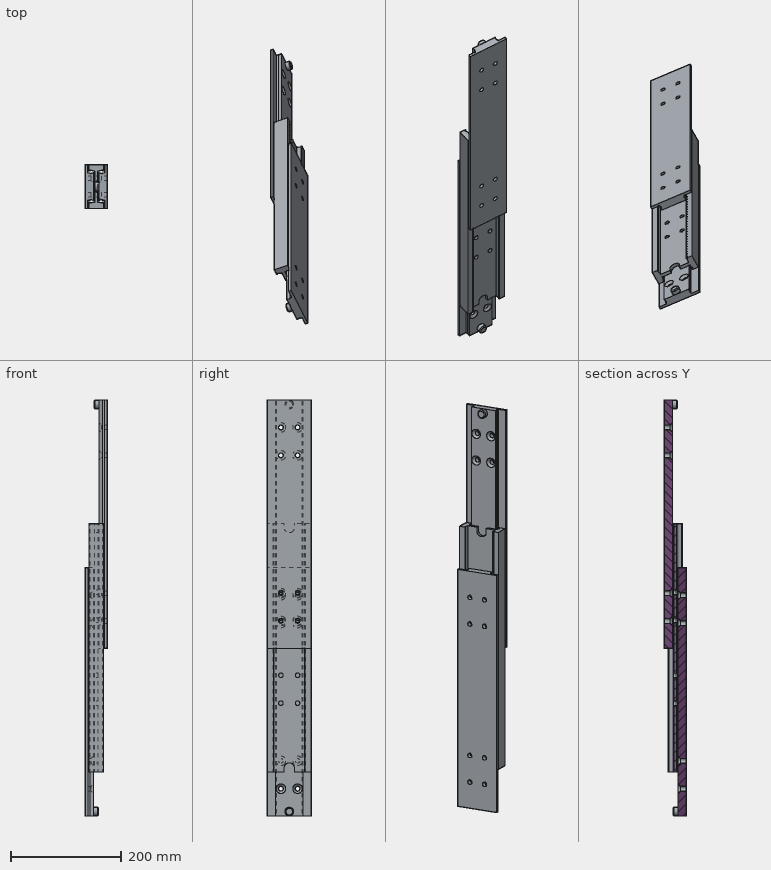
import cadquery as cq
import math

TOTAL_LENGTH = 754.0
RAIL_LENGTH = 450.0
MIDDLE_BOTTOM = 80.0
SLIDE_WIDTH = 80.0
STACK_DEPTH = 40.0

PLATE_THICKNESS = 5.0
END_RAIL_DEPTH = 15.0
BLOCK_HALF_WIDTH = 25.0

MIDDLE_DEPTH = 26.5
WEB_THICKNESS = 6.0
CHANNEL_HALF_WIDTH = 28.25

RACE_OUTER_X = 11.0
RACE_STEP = 1.5
RACE_ANGLE = 15.0

HOLE_DIAMETER = 8.0
SINK_DIAMETER = 17.0
SINK_ANGLE = 90.0
HOLE_SPACING_Y = 30.0
HOLE_DISTANCES = (50.0, 100.0)

PIN_DIAMETER = 16.0
PIN_HEIGHT = 9.0
PIN_CHAMFER = 1.9
PIN_END_DISTANCE = 8.0
NOTCH_DIAMETER = 19.0
NOTCH_DEPTH = 16.5

HALF_WIDTH = SLIDE_WIDTH / 2
HALF_STACK = STACK_DEPTH / 2
PLATE_FACE_X = HALF_STACK - PLATE_THICKNESS
BLOCK_FACE_X = HALF_STACK - END_RAIL_DEPTH
RACE_RISE = (RACE_OUTER_X - BLOCK_FACE_X) * math.tan(math.radians(RACE_ANGLE))


def symmetric_bar(half_outline):
    """Rail-length bar whose section is the +Y half outline plus its mirror image in -Y."""
    outline = half_outline + [(x, -y) for x, y in reversed(half_outline)]
    return cq.Workplane("XY").polyline(outline).close().extrude(RAIL_LENGTH)


def hole_points(heights):
    """(Y, Z) centres of one pair of holes at each height."""
    return [(side * HOLE_SPACING_Y / 2, z) for z in heights for side in (-1, 1)]


def make_end_rail():
    """End rail on the +X side of the slide, from Z = 0 up, with its stop pin at the top."""
    race_half_width = BLOCK_HALF_WIDTH - RACE_STEP
    rail = symmetric_bar([
        (HALF_STACK, HALF_WIDTH),
        (PLATE_FACE_X, HALF_WIDTH),
        (PLATE_FACE_X, BLOCK_HALF_WIDTH),
        (RACE_OUTER_X, BLOCK_HALF_WIDTH),
        (RACE_OUTER_X, race_half_width),
        (BLOCK_FACE_X, race_half_width + RACE_RISE),
    ])

    lower_heights = list(HOLE_DISTANCES)
    upper_heights = [RAIL_LENGTH - distance for distance in HOLE_DISTANCES]
    block_face = cq.Plane(origin=(BLOCK_FACE_X, 0, 0), xDir=(0, -1, 0), normal=(-1, 0, 0))
    rail = (
        rail.copyWorkplane(cq.Workplane(block_face))
        .pushPoints(hole_points(lower_heights + upper_heights))
        .cskHole(HOLE_DIAMETER, SINK_DIAMETER, SINK_ANGLE)
    )

    pin = (
        cq.Workplane(block_face)
        .center(0, RAIL_LENGTH - PIN_END_DISTANCE)
        .circle(PIN_DIAMETER / 2)
        .extrude(PIN_HEIGHT)
        .faces("<X")
        .chamfer(PIN_CHAMFER)
    )
    return rail.union(pin)


def make_channel():
    """Cutter for the +X channel of the middle rail, with a ball race in each side wall."""
    web_face_x = WEB_THICKNESS / 2
    race_half_width = CHANNEL_HALF_WIDTH + RACE_STEP
    floor_half_width = race_half_width - RACE_RISE
    return symmetric_bar([
        (MIDDLE_DEPTH / 2, CHANNEL_HALF_WIDTH),
        (RACE_OUTER_X, CHANNEL_HALF_WIDTH),
        (RACE_OUTER_X, race_half_width),
        (BLOCK_FACE_X, floor_half_width),
        (web_face_x, floor_half_width),
    ])


def make_notch():
    """Cutter for the round-bottomed notch at the lower end of the web."""
    radius = NOTCH_DIAMETER / 2
    centre_height = NOTCH_DEPTH - radius
    return (
        cq.Workplane("YZ")
        .moveTo(-radius, 0)
        .lineTo(-radius, centre_height)
        .threePointArc((0, NOTCH_DEPTH), (radius, centre_height))
        .lineTo(radius, 0)
        .close()
        .extrude(WEB_THICKNESS, both=True)
    )


def make_middle_rail():
    """Middle rail from Z = 0 up: I section, end notches and web holes."""
    rail = cq.Workplane("XY").rect(MIDDLE_DEPTH, SLIDE_WIDTH).extrude(RAIL_LENGTH)

    channel = make_channel()
    rail = rail.cut(channel).cut(channel.mirror("YZ"))

    notch = make_notch()
    top_notch = notch.mirror("XY").translate((0, 0, RAIL_LENGTH))
    rail = rail.cut(notch).cut(top_notch)

    heights = [RAIL_LENGTH / 2 + end * distance for end in (-1, 1) for distance in HOLE_DISTANCES]
    web_holes = (
        cq.Workplane("YZ")
        .pushPoints(hole_points(heights))
        .circle(HOLE_DIAMETER / 2)
        .extrude(WEB_THICKNESS, both=True)
    )
    return rail.cut(web_holes)


middle_rail = make_middle_rail().translate((0, 0, MIDDLE_BOTTOM))
end_rails = []
for turn, height in ((0, TOTAL_LENGTH - RAIL_LENGTH), (180, RAIL_LENGTH)):
    end_rail = make_end_rail().rotate((0, 0, 0), (0, 1, 0), turn).translate((0, 0, height))
    end_rails.append(end_rail.val())

result = cq.Compound.makeCompound([middle_rail.val(), *end_rails])